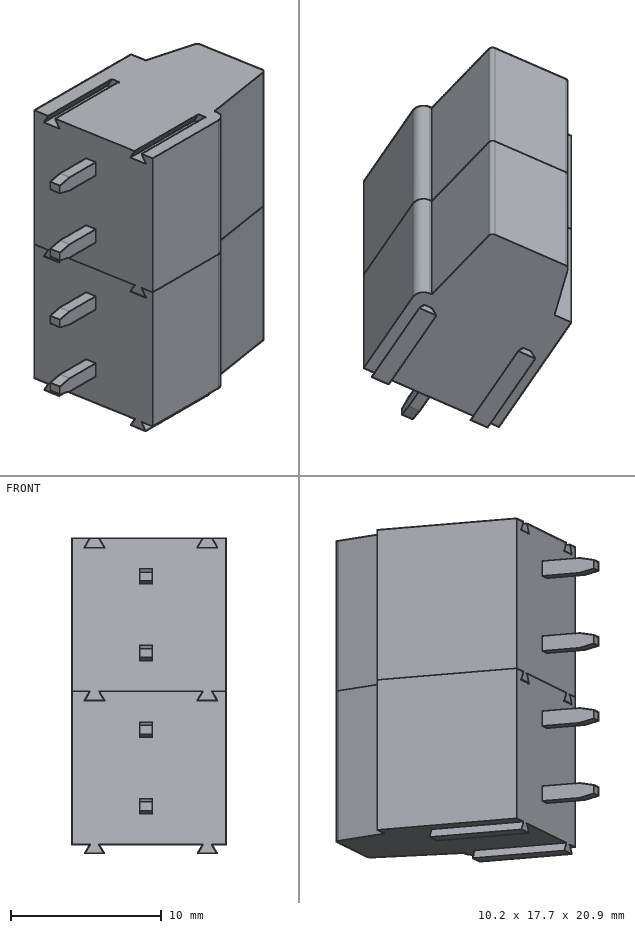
import cadquery as cq

BLOCK_COUNT = 2
STACK_HEIGHT = 20.92

TONGUE_HEIGHT = 0.59
TONGUE_NECK = 0.6
TONGUE_TIP = 1.3
FLANK_SLOPE = (TONGUE_TIP - TONGUE_NECK) / 2 / TONGUE_HEIGHT
GROOVE_CLEARANCE = 0.05
DOVETAIL_LENGTH = 6.6
DOVETAIL_CENTERS_X = (1.5, 9.0)

BLOCK_HEIGHT = (STACK_HEIGHT - TONGUE_HEIGHT) / BLOCK_COUNT
BLOCK_WIDTH = 10.25
BLOCK_DEPTH = 14.0
LEFT_SHOULDER_Y = 10.0
LEFT_SHOULDER_WIDTH = 1.28
RIGHT_SHOULDER_Y = 7.6
RIGHT_SHOULDER_WIDTH = 1.0
NOSE_LEFT_X = 2.4
NOSE_RIGHT_X = 8.26
SHOULDER_RADIUS = 0.84
NOSE_RADIUS = 0.31

PINS_PER_BLOCK = 2
PIN_CENTER_X = 4.92
PIN_WIDTH = 0.84
PIN_THICKNESS = 1.0
PIN_LENGTH = 3.7
PIN_TIP_THICKNESS = 0.59
PIN_TAPER_LENGTH = 1.0
PIN_PITCH = BLOCK_HEIGHT / PINS_PER_BLOCK


def make_housing():
    """Housing standing on Z = 0 with its pin side on Y = 0."""
    outline = [
        (0, 0),
        (BLOCK_WIDTH, 0),
        (BLOCK_WIDTH, RIGHT_SHOULDER_Y),
        (BLOCK_WIDTH - RIGHT_SHOULDER_WIDTH, RIGHT_SHOULDER_Y),
        (NOSE_RIGHT_X, BLOCK_DEPTH),
        (NOSE_LEFT_X, BLOCK_DEPTH),
        (LEFT_SHOULDER_WIDTH, LEFT_SHOULDER_Y),
        (0, LEFT_SHOULDER_Y),
    ]
    housing = cq.Workplane("XY").polyline(outline).close().extrude(BLOCK_HEIGHT)
    housing = housing.edges("|Z").edges(">Y").fillet(NOSE_RADIUS)
    return housing.edges("|Z").edges(">X").edges(">Y").fillet(SHOULDER_RADIUS)


def make_dovetail(center_x, face_z, height):
    """Dovetail bar that hangs below face_z and widens downward with the common flank slope."""
    tip_half_width = TONGUE_NECK / 2 + FLANK_SLOPE * height
    outline = [
        (center_x - TONGUE_NECK / 2, face_z),
        (center_x + TONGUE_NECK / 2, face_z),
        (center_x + tip_half_width, face_z - height),
        (center_x - tip_half_width, face_z - height),
    ]
    return cq.Workplane("XZ").polyline(outline).close().extrude(-DOVETAIL_LENGTH)


def make_pin(center_z):
    """Pin that runs from the housing toward -Y and thins toward its tip."""
    taper_start_y = PIN_TAPER_LENGTH - PIN_LENGTH
    outline = [
        (0, center_z - PIN_THICKNESS / 2),
        (taper_start_y, center_z - PIN_THICKNESS / 2),
        (-PIN_LENGTH, center_z - PIN_TIP_THICKNESS / 2),
        (-PIN_LENGTH, center_z + PIN_TIP_THICKNESS / 2),
        (taper_start_y, center_z + PIN_THICKNESS / 2),
        (0, center_z + PIN_THICKNESS / 2),
    ]
    pin = cq.Workplane("YZ").polyline(outline).close().extrude(PIN_WIDTH / 2, both=True)
    return pin.translate((PIN_CENTER_X, 0, 0))


def make_terminal_block():
    """Housing with grooves on top, tongues underneath and pins on its -Y face."""
    block = make_housing()
    for center_x in DOVETAIL_CENTERS_X:
        block = block.cut(make_dovetail(center_x, BLOCK_HEIGHT, TONGUE_HEIGHT + GROOVE_CLEARANCE))
        block = block.union(make_dovetail(center_x, 0, TONGUE_HEIGHT))
    for index in range(PINS_PER_BLOCK):
        block = block.union(make_pin((index + 0.5) * PIN_PITCH))
    return block


terminal_blocks = []
for level in range(BLOCK_COUNT):
    terminal_block = make_terminal_block().translate((0, 0, level * BLOCK_HEIGHT))
    terminal_blocks.append(terminal_block.val())

result = cq.Compound.makeCompound(terminal_blocks)